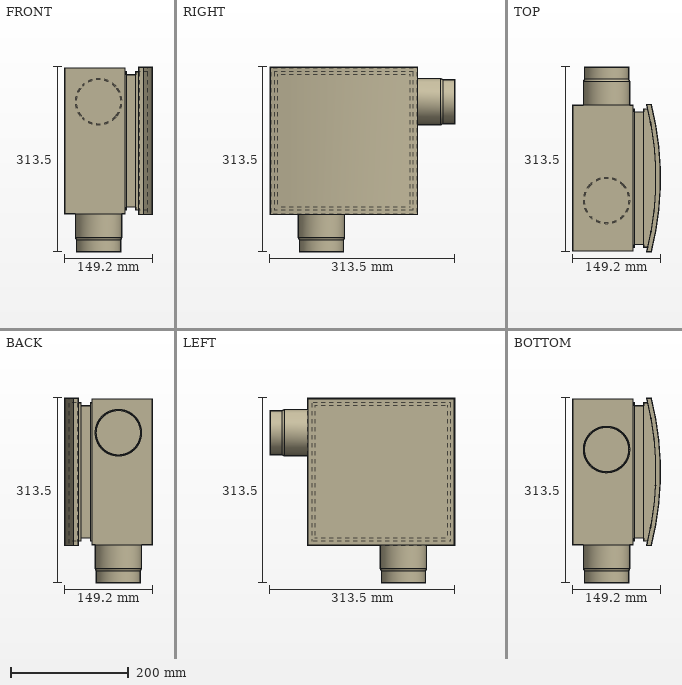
import cadquery as cq
import math


housing_side = 248.0
housing_depth = 102.8
pipe_radius = 39.5
spigot_radius = 37.5
pipe_length = 40.0
taper_length = 4.0
pipe_x = 57.7
bottom_pipe_y = -38.0
side_pipe_z = 66.5

flange_side = 235.0
neck_side = 225.0
rear_flange_thickness = 2.2
neck_length = 15.7

cover_side = 250.2
cover_thickness = 7.8
cover_radius = 508.0
cover_front_x = 149.2

overall_height = 313.5
pipe_reach = overall_height - (cover_side + housing_side) / 2
half_housing = housing_side / 2
neck_start_x = housing_depth + rear_flange_thickness
front_flange_x = neck_start_x + neck_length
inner_radius = cover_radius - cover_thickness
arc_center_x = cover_front_x - cover_radius


def square_block(side, start_x, length):
    """Square block centred on the X axis."""
    return cq.Workplane("YZ").workplane(offset=start_x).rect(side, side).extrude(length)


def arc_x(radius, y):
    """X position at height y on an arc about the cover's centre of curvature."""
    return arc_center_x + math.sqrt(radius**2 - y**2)


def pipe(position, direction):
    """Round pipe with a short taper down to its end spigot."""
    profile = (
        cq.Workplane("XZ")
        .polyline([
            (0, 0),
            (pipe_radius, 0),
            (pipe_radius, pipe_length),
            (spigot_radius, pipe_length + taper_length),
            (spigot_radius, pipe_reach),
            (0, pipe_reach),
        ])
        .close()
    )
    local_pipe = profile.revolve(360, (0, 0, 0), (0, 1, 0))
    plane = cq.Plane(origin=position, xDir=(1, 0, 0), normal=direction)
    return cq.Workplane(obj=local_pipe.val().moved(cq.Location(plane)))


def make_housing():
    """Square box with one pipe below and one on the +Y side."""
    box = square_block(housing_side, 0, housing_depth)
    bottom_pipe = pipe((pipe_x, bottom_pipe_y, -half_housing), (0, 0, -1))
    side_pipe = pipe((pipe_x, half_housing, side_pipe_z), (0, 1, 0))
    return box.union(bottom_pipe).union(side_pipe)


def make_insert():
    """Flanged neck whose front face follows the inside of the cover."""
    rear_flange = square_block(flange_side, housing_depth, rear_flange_thickness)
    neck = square_block(neck_side, neck_start_x, neck_length)
    half_side = flange_side / 2
    edge_x = arc_x(inner_radius, half_side)
    front_flange = (
        cq.Workplane("XY")
        .workplane(offset=-half_side)
        .moveTo(front_flange_x, -half_side)
        .lineTo(edge_x, -half_side)
        .threePointArc((arc_x(inner_radius, 0), 0), (edge_x, half_side))
        .lineTo(front_flange_x, half_side)
        .close()
        .extrude(flange_side)
    )
    return rear_flange.union(neck).union(front_flange)


def make_cover():
    """Square plate bowed outward about a vertical axis."""
    half_side = cover_side / 2
    inner_edge_x = arc_x(inner_radius, half_side)
    outer_edge_x = arc_x(cover_radius, half_side)
    return (
        cq.Workplane("XY")
        .workplane(offset=-half_side)
        .moveTo(inner_edge_x, -half_side)
        .lineTo(outer_edge_x, -half_side)
        .threePointArc((cover_front_x, 0), (outer_edge_x, half_side))
        .lineTo(inner_edge_x, half_side)
        .threePointArc((arc_x(inner_radius, 0), 0), (inner_edge_x, -half_side))
        .close()
        .extrude(cover_side)
    )


housing = make_housing()
insert = make_insert()
cover = make_cover()

result = cq.Compound.makeCompound([housing.val(), insert.val(), cover.val()])